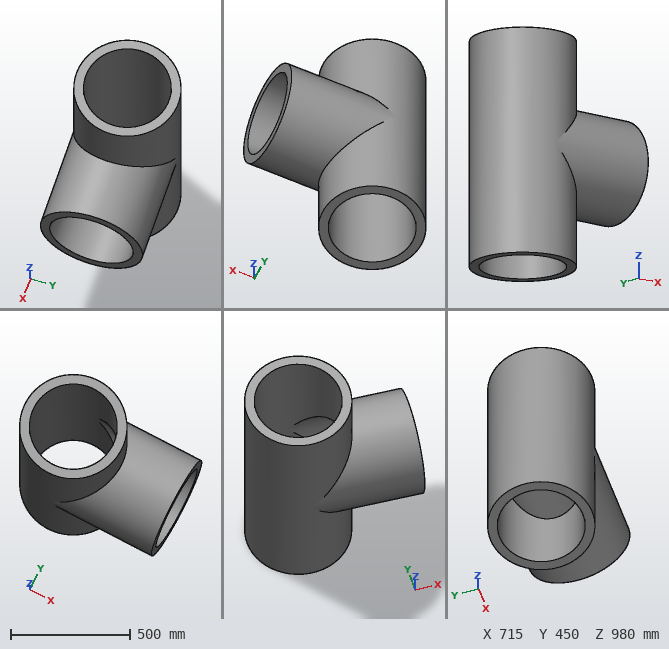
import cadquery as cq

run_length = 980.0
outer_diameter = 450.0
wall = 41.0
branch_reach = run_length / 2
bore_diameter = outer_diameter - 2 * wall


def tee_solid(diameter):
    """Run and branch cylinders of one diameter, meeting at the origin."""
    run = cq.Workplane("XY").circle(diameter / 2).extrude(run_length / 2, both=True)
    branch = cq.Workplane("YZ").circle(diameter / 2).extrude(branch_reach)
    return run.union(branch)


result = tee_solid(outer_diameter).cut(tee_solid(bore_diameter))